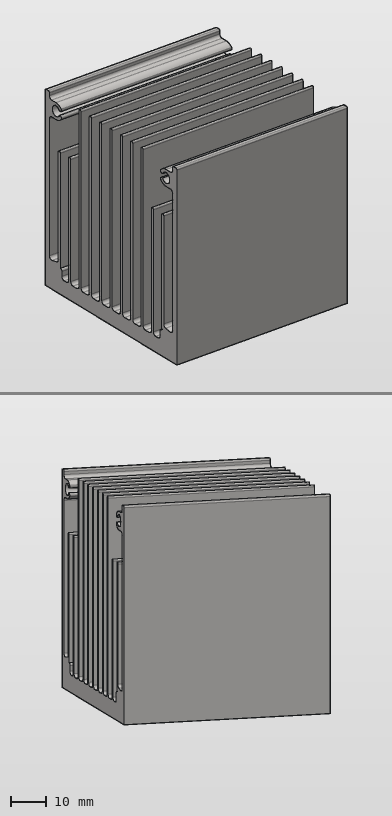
import cadquery as cq
import math

WIDTH = 60.0
LENGTH = 60.0
HEIGHT = 62.0
HALF_WIDTH = WIDTH / 2

BASE_THICKNESS = 5.0
WALL_THICKNESS = 2.0
WALL_TOP_RADIUS = 0.5
ROOT_RADIUS = 1.0

FIN_PITCH = 4.7
FIN_THICKNESS = 1.0
FIN_TIP_RADIUS = FIN_THICKNESS / 2
SHORT_FIN_HEIGHT = 45.0
TALL_FINS_PER_SIDE = 3
INNER_SHORT_FIN = TALL_FINS_PER_SIDE + 1
OUTER_SHORT_FIN = TALL_FINS_PER_SIDE + 2

POCKET_LOW = 8.9
POCKET_HIGH = 9.7
LEDGE_HEIGHT = 8.25
LEDGE_WIDTH = 0.75
LEDGE_RADIUS = 0.7

CLIP_INSET = 4.95
CLIP_HEIGHT = 57.0
CLIP_HOLE_RADIUS = 1.7
CLIP_HALF_HEIGHT = 2.65
CLIP_OUTER_RADIUS = 3.2
CLIP_HALF_GAP = 0.7
CLIP_TIP_RADIUS = 0.55

WALL_INNER_X = -HALF_WIDTH + WALL_THICKNESS
CLIP_X = -HALF_WIDTH + CLIP_INSET


def extrude_profile(outline):
    """Extrude a closed XZ outline over the full length, centred on Y = 0."""
    return outline.close().extrude(LENGTH / 2, both=True)


def round_edges(solid, corners, radius):
    """Fillet the lengthwise edges that pass through the given (x, z) corners."""
    for x, z in corners:
        edge = cq.selectors.NearestToPointSelector((x, 0, z))
        solid = solid.edges("|Y").edges(edge).fillet(radius)
    return solid


def make_base():
    return cq.Workplane("XY").box(WIDTH, LENGTH, BASE_THICKNESS, centered=(True, True, False))


def make_fin(x, height):
    """Fin with a half-round tip and a root that flares into the base."""
    left = x - FIN_THICKNESS / 2
    right = x + FIN_THICKNESS / 2
    root_top = BASE_THICKNESS + ROOT_RADIUS
    shoulder = height - FIN_TIP_RADIUS
    outline = (
        cq.Workplane("XZ")
        .moveTo(left - ROOT_RADIUS, 0)
        .lineTo(left - ROOT_RADIUS, BASE_THICKNESS)
        .radiusArc((left, root_top), -ROOT_RADIUS)
        .lineTo(left, shoulder)
        .threePointArc((x, height), (right, shoulder))
        .lineTo(right, root_top)
        .radiusArc((right + ROOT_RADIUS, BASE_THICKNESS), -ROOT_RADIUS)
        .lineTo(right + ROOT_RADIUS, 0)
    )
    return extrude_profile(outline)


def make_left_side():
    """Left wall, corner block and outermost short fin."""
    fin_x = -OUTER_SHORT_FIN * FIN_PITCH
    fin_left = fin_x - FIN_THICKNESS / 2
    fin_right = fin_x + FIN_THICKNESS / 2
    ledge_x = fin_right + LEDGE_WIDTH
    base_end = ledge_x + 2 * ROOT_RADIUS

    wall_top = [(-HALF_WIDTH, HEIGHT), (WALL_INNER_X, HEIGHT)]
    pocket_wall_root = (WALL_INNER_X, POCKET_LOW)
    pocket_fin_root = (fin_left, POCKET_HIGH)
    fin_shoulder = SHORT_FIN_HEIGHT - FIN_TIP_RADIUS
    ledge_root = (fin_right, LEDGE_HEIGHT)
    ledge_corner = (ledge_x, LEDGE_HEIGHT)
    block_root = (ledge_x, BASE_THICKNESS)

    outline = (
        cq.Workplane("XZ")
        .polyline([(-HALF_WIDTH, 0)] + wall_top + [pocket_wall_root, pocket_fin_root])
        .lineTo(fin_left, fin_shoulder)
        .threePointArc((fin_x, SHORT_FIN_HEIGHT), (fin_right, fin_shoulder))
        .polyline([ledge_root, ledge_corner, block_root], includeCurrent=True)
        .lineTo(base_end, BASE_THICKNESS)
        .lineTo(base_end, 0)
    )
    side = extrude_profile(outline)
    side = round_edges(side, wall_top, WALL_TOP_RADIUS)
    side = round_edges(side, [pocket_wall_root, pocket_fin_root, block_root], ROOT_RADIUS)
    return round_edges(side, [ledge_corner], LEDGE_RADIUS)


def make_left_clip():
    """Screw clip: round hole, open towards the fins between two rounded lips."""
    arc_offset = CLIP_OUTER_RADIUS - CLIP_HALF_HEIGHT
    tip_z = CLIP_HALF_GAP + CLIP_TIP_RADIUS
    tip_reach = CLIP_OUTER_RADIUS - CLIP_TIP_RADIUS
    tip_angle = math.asin((tip_z + arc_offset) / tip_reach)
    tip_x = tip_reach * math.cos(tip_angle)
    touch_x = CLIP_OUTER_RADIUS * math.cos(tip_angle)
    touch_z = CLIP_OUTER_RADIUS * math.sin(tip_angle) - arc_offset
    mouth_x = math.sqrt(CLIP_HOLE_RADIUS**2 - CLIP_HALF_GAP**2)

    wall_x = -CLIP_INSET + WALL_THICKNESS
    wall_middle_x = wall_x - WALL_THICKNESS / 2
    fillet_x = wall_x + ROOT_RADIUS
    fillet_z = CLIP_HALF_HEIGHT + ROOT_RADIUS

    outline = (
        cq.Workplane("XZ", origin=(CLIP_X, 0, CLIP_HEIGHT))
        .moveTo(wall_middle_x, fillet_z)
        .lineTo(wall_x, fillet_z)
        .radiusArc((fillet_x, CLIP_HALF_HEIGHT), -ROOT_RADIUS)
        .lineTo(0, CLIP_HALF_HEIGHT)
        .radiusArc((touch_x, touch_z), CLIP_OUTER_RADIUS)
        .radiusArc((tip_x, CLIP_HALF_GAP), CLIP_TIP_RADIUS)
        .lineTo(mouth_x, CLIP_HALF_GAP)
        .threePointArc((-CLIP_HOLE_RADIUS, 0), (mouth_x, -CLIP_HALF_GAP))
        .lineTo(tip_x, -CLIP_HALF_GAP)
        .radiusArc((touch_x, -touch_z), CLIP_TIP_RADIUS)
        .radiusArc((0, -CLIP_HALF_HEIGHT), CLIP_OUTER_RADIUS)
        .lineTo(fillet_x, -CLIP_HALF_HEIGHT)
        .radiusArc((wall_x, -fillet_z), -ROOT_RADIUS)
        .lineTo(wall_middle_x, -fillet_z)
    )
    return extrude_profile(outline)


left_side = make_left_side().union(make_left_clip())
result = make_base().union(left_side).union(left_side.mirror("YZ"))

for index in range(-INNER_SHORT_FIN, INNER_SHORT_FIN + 1):
    fin_height = HEIGHT if abs(index) <= TALL_FINS_PER_SIDE else SHORT_FIN_HEIGHT
    result = result.union(make_fin(index * FIN_PITCH, fin_height))

result = result.clean()